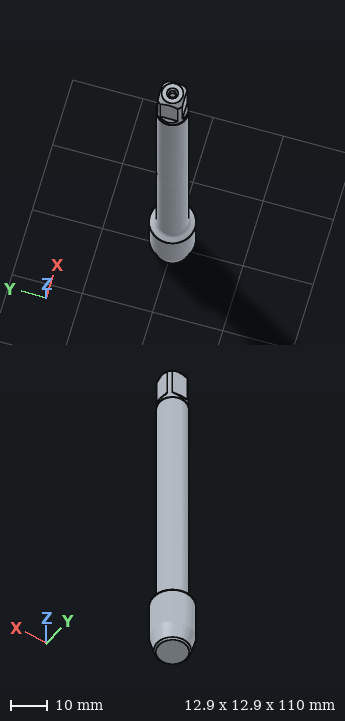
import cadquery as cq

total_length = 110.0
tip_bevel = 0.5
taper_top = 5.5
thread_top = 18.0
collar_rim_top = 18.3
collar_cone_top = 19.0
neck_bottom = 20.4
neck_top = 54.6
shank_bottom = 55.2
shank_top = 97.9
flat_bottom = 100.0

thread_diameter = 12.9
taper_end_diameter = 10.2
collar_cone_diameter = 10.3
neck_diameter = 8.9
shank_diameter = 9.0
drive_diameter = 8.7
drive_end_diameter = 5.9

square_width = 7.0
centre_hole_diameter = 2.0
countersink_diameter = 3.1
centre_hole_depth = 2.2


def revolve_profile(points):
    """Turn (radius, height) points about the Z axis."""
    return cq.Workplane("XZ").polyline(points).close().revolve(360, (0, 0), (0, 1))


def make_cutting_head():
    """Threaded section as a plain cylinder with a tapered lead."""
    thread_radius = thread_diameter / 2
    taper_end_radius = taper_end_diameter / 2
    return revolve_profile([
        (0, 0),
        (taper_end_radius - tip_bevel, 0),
        (taper_end_radius, tip_bevel),
        (thread_radius, taper_top),
        (thread_radius, thread_top),
        (0, thread_top),
    ])


def make_turned_shank():
    """Collar with a filleted cone, neck, shank and the round stock of the drive end."""
    collar_radius = thread_diameter / 2
    neck_radius = neck_diameter / 2
    shank_radius = shank_diameter / 2
    drive_radius = drive_diameter / 2
    drive_end_radius = drive_end_diameter / 2
    end_chamfer = drive_radius - drive_end_radius
    return (
        cq.Workplane("XZ")
        .moveTo(0, total_length)
        .lineTo(drive_end_radius, total_length)
        .lineTo(drive_radius, total_length - end_chamfer)
        .lineTo(drive_radius, shank_top)
        .lineTo(shank_radius, shank_top)
        .lineTo(shank_radius, shank_bottom)
        .lineTo(neck_radius, neck_top)
        .lineTo(neck_radius, neck_bottom)
        .tangentArcPoint((collar_cone_diameter / 2, collar_cone_top), relative=False)
        .lineTo(collar_radius, collar_rim_top)
        .lineTo(collar_radius, thread_top)
        .lineTo(0, thread_top)
        .close()
        .revolve(360, (0, 0), (0, 1))
    )


def make_flat_cutter():
    """Material outside the +X flat, with a 45 degree run-out at its lower end."""
    flat_distance = square_width / 2
    run_out = thread_diameter / 2 - flat_distance
    return (
        cq.Workplane("XZ")
        .moveTo(flat_distance, flat_bottom)
        .line(run_out, -run_out)
        .lineTo(flat_distance + run_out, total_length)
        .lineTo(flat_distance, total_length)
        .close()
        .extrude(drive_diameter / 2, both=True)
    )


def make_centre_hole():
    """Blind hole with a 45 degree countersink."""
    hole_radius = centre_hole_diameter / 2
    countersink_radius = countersink_diameter / 2
    countersink_depth = countersink_radius - hole_radius
    return revolve_profile([
        (0, total_length),
        (countersink_radius, total_length),
        (hole_radius, total_length - countersink_depth),
        (hole_radius, total_length - centre_hole_depth),
        (0, total_length - centre_hole_depth - hole_radius),
    ])


def make_shank():
    """Shank with a square drive and a centre hole."""
    body = make_turned_shank()
    flat_cutter = make_flat_cutter()
    for quarter in range(4):
        body = body.cut(flat_cutter.rotate((0, 0, 0), (0, 0, 1), 90 * quarter))
    return body.cut(make_centre_hole())


cutting_head = make_cutting_head()
shank = make_shank()

result = cq.Compound.makeCompound([cutting_head.val(), shank.val()])